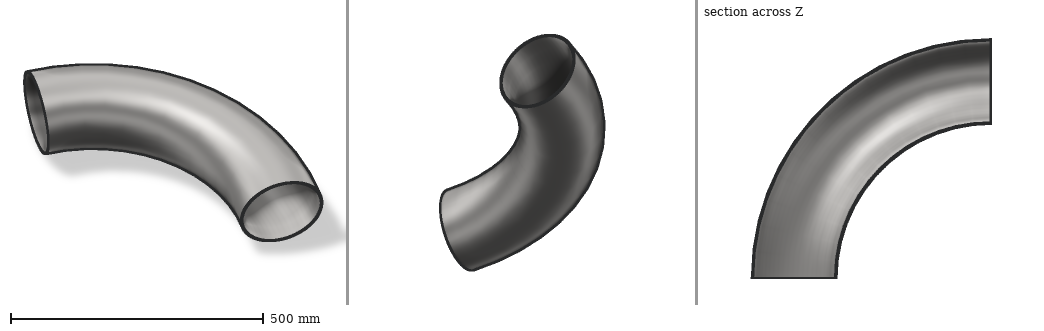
import cadquery as cq

overall_length = 474.0
outer_diameter = 168.5
wall_thickness = 3.0
bend_angle = 90.0

outer_radius = outer_diameter / 2
inner_radius = outer_radius - wall_thickness
bend_radius = overall_length - outer_radius

pipe_end = cq.Workplane("XZ").circle(outer_radius).circle(inner_radius)
bend_axis_start = (bend_radius, 0)
bend_axis_end = (bend_radius, -1)

result = pipe_end.revolve(bend_angle, bend_axis_start, bend_axis_end)